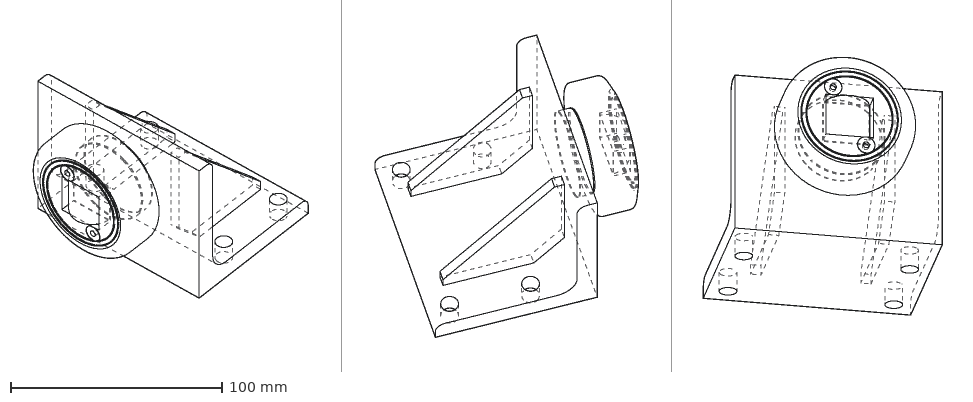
import cadquery as cq

overall_length = 110.5
overall_height = 82.8

bracket_width = 100.0
leg_length = 80.0
leg_thickness = 10.0
toe_radius = leg_thickness / 2
root_radius = leg_thickness

hole_diameter = 8.4
hole_margin = 10.1
hole_pitch_y = 40.0

rib_thickness = 5.0
rib_edge_offset = 21.0
rib_reach = 70.0
rib_end_height = 4.9
rib_corner_cut = 15.1

wheel_center_z = 50.1
collar_base_diameter = 42.1
collar_base_length = 0.4
collar_diameter = 42.0
collar_length = 7.0
neck_diameter = 41.3
wheel_diameter = 2 * (overall_height - wheel_center_z)
wheel_back = 7.6
wheel_front = 28.0
wheel_face_diameter = 50.0
wheel_cone_depth = 3.2
wheel_back_radius = 2.0
wheel_front_radius = 3.0

ring_grooves = [(47.0, 46.2), (42.0, 41.1)]
ring_groove_depth = 0.5

pocket_width = 22.9
pocket_height = 20.8
roller_diameter = 22.0
roller_height = 20.0
roller_edge_radius = 1.1
roller_front = overall_length - leg_length
roller_axis_y = -(roller_front - roller_diameter / 2)

screw_x = 8.0
screw_z = 14.5
screw_head_diameter = 8.4
screw_head_front = 28.2
screw_head_thickness = 3.0
screw_socket_diameter = 3.0
screw_socket_depth = 2.0


def disc(diameter, start, end, x=0, z=0):
    """Cylinder about a wheel-parallel axis, between two distances from the front face."""
    center = (x, -start, wheel_center_z + z)
    return cq.Workplane("XZ", origin=center).circle(diameter / 2).extrude(end - start)


def make_bracket():
    """L-section with rounded toes, a rounded root and four mounting holes."""
    bracket = (
        cq.Workplane("YZ", origin=(-bracket_width / 2, 0, 0))
        .polyline([
            (0, 0),
            (leg_length, 0),
            (leg_length, leg_thickness),
            (leg_thickness, leg_thickness),
            (leg_thickness, leg_length),
            (0, leg_length),
        ])
        .close()
        .extrude(bracket_width)
    )
    bracket = bracket.edges(cq.NearestToPointSelector((0, leg_thickness, leg_thickness))).fillet(root_radius)
    for toe in [(0, leg_length, leg_thickness), (0, leg_thickness, leg_length)]:
        bracket = bracket.edges(cq.NearestToPointSelector(toe)).fillet(toe_radius)

    hole_x = bracket_width / 2 - hole_margin
    rear_hole_y = leg_length - hole_margin
    hole_centers = [(x, y) for x in (-hole_x, hole_x) for y in (rear_hole_y, rear_hole_y - hole_pitch_y)]
    holes = cq.Workplane("XY").pushPoints(hole_centers).circle(hole_diameter / 2).extrude(leg_thickness)
    return bracket.cut(holes)


def make_rib(start_x):
    """Triangular gusset with blunt ends and a cut corner that clears the root radius."""
    inner = leg_thickness
    return (
        cq.Workplane("YZ", origin=(start_x, 0, 0))
        .polyline([
            (inner + rib_corner_cut, inner),
            (rib_reach, inner),
            (rib_reach, inner + rib_end_height),
            (inner + rib_end_height, rib_reach),
            (inner, rib_reach),
            (inner, inner + rib_corner_cut),
        ])
        .close()
        .extrude(rib_thickness)
    )


def make_wheel():
    """Wheel with a conical front, grooved face, rear neck and collar."""
    radius = wheel_diameter / 2
    tread_end = wheel_front - wheel_cone_depth
    wheel = (
        cq.Workplane("XY")
        .polyline([
            (0, -wheel_back),
            (radius, -wheel_back),
            (radius, -tread_end),
            (wheel_face_diameter / 2, -wheel_front),
            (0, -wheel_front),
        ])
        .close()
        .revolve(360, (0, 0, 0), (0, 1, 0))
        .translate((0, 0, wheel_center_z))
    )
    tread_edges = cq.selectors.RadiusNthSelector(-1)
    wheel = wheel.edges(tread_edges).edges(">Y").fillet(wheel_back_radius)
    wheel = wheel.edges(tread_edges).edges("<Y").fillet(wheel_front_radius)
    wheel = wheel.union(disc(neck_diameter, 0, wheel_back))
    wheel = wheel.union(disc(collar_diameter, 0, collar_length))
    wheel = wheel.union(disc(collar_base_diameter, 0, collar_base_length))

    for outer, inner in ring_grooves:
        groove_floor = wheel_front - ring_groove_depth
        groove = disc(outer, groove_floor, wheel_front).cut(disc(inner, groove_floor, wheel_front))
        wheel = wheel.cut(groove)
    return wheel


def make_pocket():
    """Rectangular recess reaching back to the roller axis."""
    depth = wheel_front + roller_axis_y
    return (
        cq.Workplane("XZ", origin=(0, roller_axis_y, wheel_center_z))
        .rect(pocket_width, pocket_height)
        .extrude(depth)
    )


def make_roller():
    """Roller with rounded end edges; its rear half is seated in the pocket floor."""
    return (
        cq.Workplane("XY", origin=(0, roller_axis_y, wheel_center_z - roller_height / 2))
        .circle(roller_diameter / 2)
        .extrude(roller_height)
        .edges("%CIRCLE")
        .fillet(roller_edge_radius)
    )


def add_screw(body, x, z):
    """Add a flat screw head with a blind round socket, standing slightly proud of the wheel."""
    head_back = screw_head_front - screw_head_thickness
    socket_floor = screw_head_front - screw_socket_depth
    body = body.union(disc(screw_head_diameter, head_back, screw_head_front, x, z))
    return body.cut(disc(screw_socket_diameter, socket_floor, screw_head_front, x, z))


result = make_bracket()
rib_start = bracket_width / 2 - rib_edge_offset
for start_x in (-rib_start, rib_start - rib_thickness):
    result = result.union(make_rib(start_x))
result = result.union(make_wheel()).cut(make_pocket()).union(make_roller())
for side in (-1, 1):
    result = add_screw(result, side * screw_x, -side * screw_z)